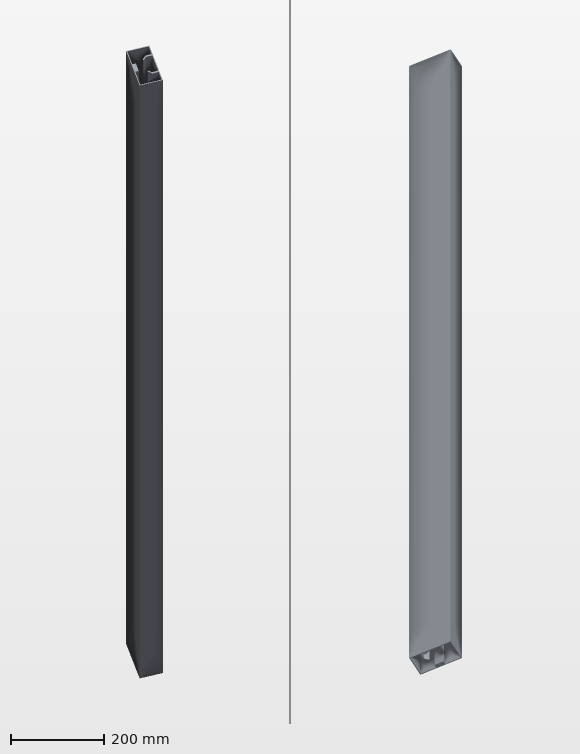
import cadquery as cq

WIDTH = 100.0
DEPTH = 52.0
LENGTH = 2000.0

WALL = 2.0

LEG_OUTER_X = 25.0
LEG_THICKNESS = 5.0
LEG_BEND_Y = 10.0
LEG_TIP_Y = 2.0
LEG_TIP_SHIFT = 8.0

STRIP_WIDTH = 22.0
STRIP_HEIGHT = 8.0

FRONT_Y = -DEPTH / 2
BACK_Y = DEPTH / 2
FRONT_INNER_Y = FRONT_Y + WALL
BACK_INNER_Y = BACK_Y - WALL


def bar(x_min, x_max, y_min, y_max):
    """Rectangular bar running the full length along Z."""
    return cq.Workplane("XY").box(
        x_max - x_min, y_max - y_min, LENGTH, centered=False
    ).translate((x_min, y_min, -LENGTH / 2))


def make_leg(side):
    """Leg that leaves the back wall straight and then bends towards the middle."""
    leg_inner_x = LEG_OUTER_X - LEG_THICKNESS
    section = [
        (LEG_OUTER_X, BACK_INNER_Y),
        (LEG_OUTER_X, LEG_BEND_Y),
        (LEG_OUTER_X - LEG_TIP_SHIFT, LEG_TIP_Y),
        (leg_inner_x - LEG_TIP_SHIFT, LEG_TIP_Y),
        (leg_inner_x, LEG_BEND_Y),
        (leg_inner_x, BACK_INNER_Y),
    ]
    points = [(side * x, y) for x, y in section]
    return cq.Workplane("XY", origin=(0, 0, -LENGTH / 2)).polyline(points).close().extrude(LENGTH)


def make_housing():
    """Closed rectangular tube with a pair of mirrored legs inside."""
    outer = bar(-WIDTH / 2, WIDTH / 2, FRONT_Y, BACK_Y)
    cavity = bar(-WIDTH / 2 + WALL, WIDTH / 2 - WALL, FRONT_INNER_Y, BACK_INNER_Y)
    housing = outer.cut(cavity)
    for side in (-1, 1):
        housing = housing.union(make_leg(side))
    return housing


def make_strip():
    """Strip lying along the middle of the inner face of the front wall."""
    return bar(-STRIP_WIDTH / 2, STRIP_WIDTH / 2, FRONT_INNER_Y, FRONT_INNER_Y + STRIP_HEIGHT)


housing = make_housing()
strip = make_strip()
result = cq.Compound.makeCompound([housing.val(), strip.val()])